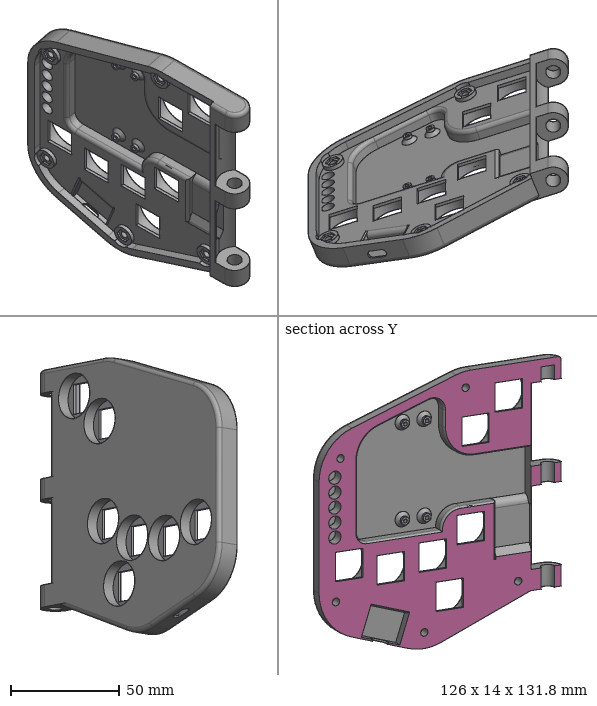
import cadquery as cq
import math


BARREL_R = 7.0
BACK_Y = BARREL_R
LEAF_FRONT_Y = -BARREL_R
RIM_FRONT_Y = -4.5
FLOOR_Y = -0.5
SKIN = 1.5
DEEP_Y = BACK_Y - SKIN

SAME_POINT = 1e-6

LEFT_X = -119.0
HINGE_H = 111.7
LEAF_X = -9.0
OUTLINE_R = 25.0
UPPER_LEFT = (LEFT_X, 86.7)
TOP_SHOULDER = (-44.0, HINGE_H)
LOWER_LEFT = (LEFT_X, -3.3)
BOTTOM_TIP = (-64.0, -21.65)
RIM_W = 4.0
BACK_EDGE_R = 2.0

KNUCKLE_GAPS = ((10.5, 50.7), (60.5, 100.6))
CLEARANCE_R = 8.6
FLANGE_EDGE_X = -6.0
PIN_D = 6.85
PIN_CAP = 4.0
PIN_TOP_Z = HINGE_H - PIN_CAP

BAY_LEFT_X = -99.0
BAY_RIGHT_X = -54.0
BAY_BOTTOM_Z = 36.0
BAY_TOP_Z = 69.9
BAY_STEP_Z = 46.1
BAY_STEP_CENTER_X = -45.5
BAY_STEP_R = BAY_STEP_Z - BAY_BOTTOM_Z
BAY_EDGE_INSET = 5.5
BAY_BIG_R = 16.0
BAY_TIP_R = 6.0
BAY_LOW_R = 5.0
LIP_R = 2.0

CHANNEL_X = -27.0
CHANNEL_FLOOR_Y = 2.2
CHANNEL_ROLL_R = 4.0
CHANNEL_RAMP_TOP_Z = 23.0
CHANNEL_RAMP_FOOT_Z = 19.0
BEVEL_W = 0.9
BEVEL_DEPTH = 0.35
CHANNEL_BEVEL_W = 1.6
CHANNEL_BEVEL_DEPTH = 1.3
SLOT_FRONT_Y = -4.0
SLOT_CORNER = 3.0

POCKET_CENTER_X = -87.2
POCKET_W = 20.8
POCKET_FLOOR_Y = 4.0
POCKET_LIP_R = 2.4
POCKET_LENGTH = 12.0
PORT_WALL = 1.0
PORT_W = 9.5
PORT_H = 4.0
PORT_Y = 1.4

SWITCH_SIDE = 14.0
SWITCH_LIP = 1.5
KEYCAP_D = 21.2
SWITCH_CENTERS = (
    (-103.3, 26.2), (-81.6, 21.5), (-59.8, 24.5), (-40.0, 35.0),
    (-51.0, 4.2), (-37.6, 82.3), (-20.3, 96.4),
)

LAMP_D = 6.1
LAMP_X = -110.7
LAMP_FIRST_Z = 40.6
LAMP_PITCH = 7.25
LAMP_COUNT = 5

BOSS_D = 10.0
BOSS_FRONT_Y = -2.5
NUT_ACROSS_CORNERS = 6.85
NUT_DEPTH = 1.0
SCREW_D = 3.5
BOSS_CENTERS = (
    (-107.7, 78.5), (-110.1, 9.3), (-64.2, -12.1), (-15.4, 5.7), (-42.7, 103.4),
)

STANDOFF_D = 4.0
STANDOFF_BORE = 1.8
STANDOFF_FRONT_Y = 2.3
STANDOFF_CONE_H = 1.75
STANDOFF_XS = (-72.8, -61.5)
STANDOFF_ZS = (42.5, 89.5)


def at_depth(y):
    """Sketch plane facing -Y at depth y, with local axes X and Z."""
    return cq.Workplane("XZ", origin=(0, y, 0))


def cylinder(center, diameter, back_y, front_y):
    return at_depth(back_y).center(*center).circle(diameter / 2).extrude(back_y - front_y)


def block(x_range, y_range, z_range):
    size = [high - low for low, high in (x_range, y_range, z_range)]
    corner = (x_range[0], y_range[0], z_range[0])
    return cq.Workplane("XY", origin=corner).box(*size, centered=False)


def toward(start, target, distance):
    """Point at the given distance from start on the way to target."""
    scale = distance / math.dist(start, target)
    return tuple(a + (b - a) * scale for a, b in zip(start, target))


def rounded_sketch(y, corners):
    """Closed outline through (x, z, radius) corners; a radius of 0 keeps the corner sharp."""
    sketch = at_depth(y)
    count = len(corners)
    for index, (x, z, radius) in enumerate(corners):
        corner = (x, z)
        before = corners[index - 1][:2]
        after = corners[(index + 1) % count][:2]
        half_angle = math.acos(
            ((before[0] - x) * (after[0] - x) + (before[1] - z) * (after[1] - z))
            / (math.dist(before, corner) * math.dist(after, corner))
        ) / 2
        run = radius / math.tan(half_angle)
        entry = toward(corner, before, run) if radius else corner
        if index == 0:
            sketch = sketch.moveTo(*entry)
        elif math.dist(entry, reached) > SAME_POINT:
            sketch = sketch.lineTo(*entry)
        reached = entry
        if radius:
            reached = toward(corner, after, run)
            chord_middle = ((entry[0] + reached[0]) / 2, (entry[1] + reached[1]) / 2)
            arc_middle = toward(corner, chord_middle, radius / math.sin(half_angle) - radius)
            sketch = sketch.threePointArc(arc_middle, reached)
    return sketch.close()


def shell_sketch(y, right_x):
    """Outer outline with its straight sides carried on to right_x."""
    slope = BOTTOM_TIP[1] / (BOTTOM_TIP[0] - LEAF_X)
    return rounded_sketch(y, (
        (right_x, HINGE_H, 0),
        (*TOP_SHOULDER, OUTLINE_R),
        (*UPPER_LEFT, OUTLINE_R),
        (*LOWER_LEFT, OUTLINE_R),
        (*BOTTOM_TIP, OUTLINE_R),
        (right_x, slope * (right_x - LEAF_X), 0),
    ))


def outer_solid():
    shell = shell_sketch(BACK_Y, LEAF_X).extrude(BACK_Y - RIM_FRONT_Y)
    leaf = block((LEAF_X, 0), (LEAF_FRONT_Y, BACK_Y), (0, HINGE_H))
    barrel = cq.Workplane("XY").circle(BARREL_R).extrude(HINGE_H)
    solid = shell.union(leaf).union(barrel).clean()
    start_edge = cq.selectors.NearestToPointSelector((LEFT_X, BACK_Y, UPPER_LEFT[1] / 2))
    return solid.edges(start_edge).fillet(BACK_EDGE_R)


def bay_sketch(y):
    """Outline of the deep bay, running on past the hinge leaf on the right."""
    slope_angle = math.atan2(TOP_SHOULDER[1] - UPPER_LEFT[1], TOP_SHOULDER[0] - LEFT_X)
    ceiling_drop = BAY_EDGE_INSET / math.cos(slope_angle)

    def ceiling_z(x):
        return UPPER_LEFT[1] + (x - LEFT_X) * math.tan(slope_angle) - ceiling_drop

    step_left_x = BAY_STEP_CENTER_X - BAY_STEP_R
    return rounded_sketch(y, (
        (0, BAY_TOP_Z, 0),
        (BAY_RIGHT_X, BAY_TOP_Z, BAY_BIG_R),
        (BAY_RIGHT_X, ceiling_z(BAY_RIGHT_X), BAY_TIP_R),
        (BAY_LEFT_X, ceiling_z(BAY_LEFT_X), BAY_BIG_R),
        (BAY_LEFT_X, BAY_BOTTOM_Z, BAY_LOW_R),
        (step_left_x, BAY_BOTTOM_Z, 0),
        (step_left_x, BAY_STEP_Z, BAY_STEP_R),
        (0, BAY_STEP_Z, 0),
    ))


def channel():
    """Cable channel: a ramped trough that rolls over into the deep bay, with bevelled edges."""
    bevel_bottom_z = CHANNEL_RAMP_FOOT_Z - BEVEL_W
    roll_center_y = CHANNEL_FLOOR_Y + CHANNEL_ROLL_R
    roll_center_z = BAY_STEP_Z - CHANNEL_ROLL_R
    diagonal = CHANNEL_ROLL_R * math.cos(math.pi / 4)
    trough = (
        cq.Workplane("YZ", origin=(CHANNEL_X, 0, 0))
        .moveTo(RIM_FRONT_Y, bevel_bottom_z)
        .lineTo(FLOOR_Y, bevel_bottom_z)
        .lineTo(FLOOR_Y + BEVEL_DEPTH, CHANNEL_RAMP_FOOT_Z)
        .lineTo(CHANNEL_FLOOR_Y, CHANNEL_RAMP_TOP_Z)
        .lineTo(CHANNEL_FLOOR_Y, roll_center_z)
        .threePointArc(
            (roll_center_y - diagonal, roll_center_z + diagonal),
            (roll_center_y, BAY_STEP_Z),
        )
        .lineTo(RIM_FRONT_Y, BAY_STEP_Z)
        .close()
        .extrude(LEAF_X - CHANNEL_X)
    )
    left_bevel = (
        cq.Workplane("XY", origin=(0, 0, bevel_bottom_z))
        .moveTo(CHANNEL_X - CHANNEL_BEVEL_W, FLOOR_Y)
        .lineTo(CHANNEL_X, FLOOR_Y + CHANNEL_BEVEL_DEPTH)
        .lineTo(CHANNEL_X, FLOOR_Y)
        .close()
        .extrude(BAY_STEP_Z - bevel_bottom_z)
    )
    return trough.union(left_bevel)


def place_at_port(tool):
    """Turn a tool drawn with the lower left wall along +X at the origin and move it onto that wall."""
    run = BOTTOM_TIP[0] - LEFT_X
    slope = (BOTTOM_TIP[1] - LOWER_LEFT[1]) / run
    wall_z = LOWER_LEFT[1] + slope * (POCKET_CENTER_X - LEFT_X)
    tilt = -math.degrees(math.atan(slope))
    return tool.rotate((0, 0, 0), (0, 1, 0), tilt).translate((POCKET_CENTER_X, 0, wall_z))


def connector_pocket():
    """Pocket reaching under the rim, with a rounded inner lip and bevelled side edges."""
    end_z = RIM_W + POCKET_LENGTH
    half_w = POCKET_W / 2
    lip_diagonal = POCKET_LIP_R * math.cos(math.pi / 4)
    lip_middle = (FLOOR_Y + POCKET_LIP_R - lip_diagonal, end_z + POCKET_LIP_R - lip_diagonal)
    well = (
        cq.Workplane("YZ", origin=(-half_w, 0, 0))
        .moveTo(FLOOR_Y, PORT_WALL)
        .lineTo(POCKET_FLOOR_Y, PORT_WALL)
        .lineTo(POCKET_FLOOR_Y, end_z)
        .lineTo(FLOOR_Y + POCKET_LIP_R, end_z)
        .threePointArc(lip_middle, (FLOOR_Y, end_z + POCKET_LIP_R))
        .close()
        .extrude(POCKET_W)
    )
    pocket = well
    for side in (-1, 1):
        bevel = (
            cq.Workplane("XY", origin=(0, 0, RIM_W))
            .moveTo(side * half_w, FLOOR_Y)
            .lineTo(side * (half_w + BEVEL_W), FLOOR_Y)
            .lineTo(side * half_w, FLOOR_Y + BEVEL_DEPTH)
            .close()
            .extrude(end_z + POCKET_LIP_R - RIM_W)
        )
        pocket = pocket.union(bevel)
    return place_at_port(pocket)


def connector_port():
    slot = (
        cq.Workplane("XY", origin=(0, PORT_Y, -RIM_W))
        .slot2D(PORT_W, PORT_H)
        .extrude(2 * RIM_W)
    )
    return place_at_port(slot)


def interior():
    """Everything hollow inside the rim: the shallow floor, deep bay and cable channel."""
    floor = shell_sketch(BACK_Y, 0).extrude(BACK_Y - FLOOR_Y)
    floor = floor.cut(bay_sketch(DEEP_Y).extrude(DEEP_Y - FLOOR_Y))
    main_lip = cq.selectors.NearestToPointSelector(
        (BAY_LEFT_X, FLOOR_Y, (BAY_BOTTOM_Z + UPPER_LEFT[1]) / 2))
    step_lip = cq.selectors.NearestToPointSelector(
        (BAY_STEP_CENTER_X / 2, FLOOR_Y, BAY_STEP_Z))
    floor = floor.faces("<Y").edges(main_lip + step_lip).fillet(LIP_R)
    floor = floor.cut(channel())
    inside = shell_sketch(DEEP_Y, LEAF_X + RIM_W).offset2D(-RIM_W).extrude(DEEP_Y - RIM_FRONT_Y)
    return inside.cut(floor)


def hinge_gaps():
    """Room for the mating knuckles."""
    cutter = cq.Workplane("XY")
    for low, high in KNUCKLE_GAPS:
        sweep = cq.Workplane("XY", origin=(0, 0, low)).circle(CLEARANCE_R).extrude(high - low)
        front = block((FLANGE_EDGE_X, BARREL_R), (LEAF_FRONT_Y, 0), (low, high))
        cutter = cutter.add(sweep.union(front))
    return cutter.combine()


def pin_bore():
    return cq.Workplane("XY").circle(PIN_D / 2).extrude(PIN_TOP_Z)


def cable_slot():
    """Opening that carries the channel through the hinge leaf."""
    top_z = BAY_STEP_Z - CHANNEL_ROLL_R
    return (
        cq.Workplane("YZ", origin=(LEAF_X, 0, 0))
        .moveTo(CHANNEL_FLOOR_Y, CHANNEL_RAMP_TOP_Z)
        .lineTo(CHANNEL_FLOOR_Y, top_z)
        .lineTo(SLOT_FRONT_Y + SLOT_CORNER, top_z)
        .radiusArc((SLOT_FRONT_Y, top_z - SLOT_CORNER), SLOT_CORNER)
        .lineTo(SLOT_FRONT_Y, CHANNEL_RAMP_FOOT_Z + SLOT_CORNER)
        .radiusArc((SLOT_FRONT_Y + SLOT_CORNER, CHANNEL_RAMP_FOOT_Z), SLOT_CORNER)
        .lineTo(FLOOR_Y + BEVEL_DEPTH, CHANNEL_RAMP_FOOT_Z)
        .close()
        .extrude(FLANGE_EDGE_X - LEAF_X)
    )


def add_bosses(solid):
    for center in BOSS_CENTERS:
        nut = (
            at_depth(BOSS_FRONT_Y + NUT_DEPTH)
            .center(*center)
            .polygon(6, NUT_ACROSS_CORNERS)
            .extrude(NUT_DEPTH)
        )
        solid = (
            solid.union(cylinder(center, BOSS_D, DEEP_Y, BOSS_FRONT_Y))
            .cut(cylinder(center, BOSS_D, BOSS_FRONT_Y, RIM_FRONT_Y))
            .cut(cylinder(center, SCREW_D, DEEP_Y, BOSS_FRONT_Y))
            .cut(nut)
        )
    return solid


def standoff(center):
    """Post on a 45 degree conical foot."""
    post_r = STANDOFF_D / 2
    height = DEEP_Y - STANDOFF_FRONT_Y
    profile = (
        cq.Workplane("XY")
        .moveTo(0, 0)
        .lineTo(post_r + STANDOFF_CONE_H, 0)
        .lineTo(post_r, -STANDOFF_CONE_H)
        .lineTo(post_r, -height)
        .lineTo(0, -height)
        .close()
    )
    post = profile.revolve(360, (0, 0), (0, 1))
    return post.translate((center[0], DEEP_Y, center[1]))


def add_standoffs(solid):
    for x in STANDOFF_XS:
        for z in STANDOFF_ZS:
            solid = solid.union(standoff((x, z)))
            solid = solid.cut(cylinder((x, z), STANDOFF_BORE, DEEP_Y, STANDOFF_FRONT_Y))
    return solid


def cut_switches(solid):
    """Square switch openings, each with a round keycap well from the back."""
    for center in SWITCH_CENTERS:
        opening = at_depth(BACK_Y).center(*center).rect(SWITCH_SIDE, SWITCH_SIDE).extrude(BACK_Y - FLOOR_Y)
        well = cylinder(center, KEYCAP_D, BACK_Y, FLOOR_Y + SWITCH_LIP)
        solid = solid.cut(opening).cut(well)
    return solid


def cut_lamp_sockets(solid):
    for index in range(LAMP_COUNT):
        center = (LAMP_X, LAMP_FIRST_Z + index * LAMP_PITCH)
        solid = solid.cut(cylinder(center, LAMP_D, DEEP_Y, FLOOR_Y))
    return solid


result = outer_solid().cut(interior()).cut(hinge_gaps()).cut(pin_bore())
result = result.cut(cable_slot()).cut(connector_pocket()).cut(connector_port())
result = add_bosses(result)
result = add_standoffs(result)
result = cut_switches(result)
result = cut_lamp_sockets(result)